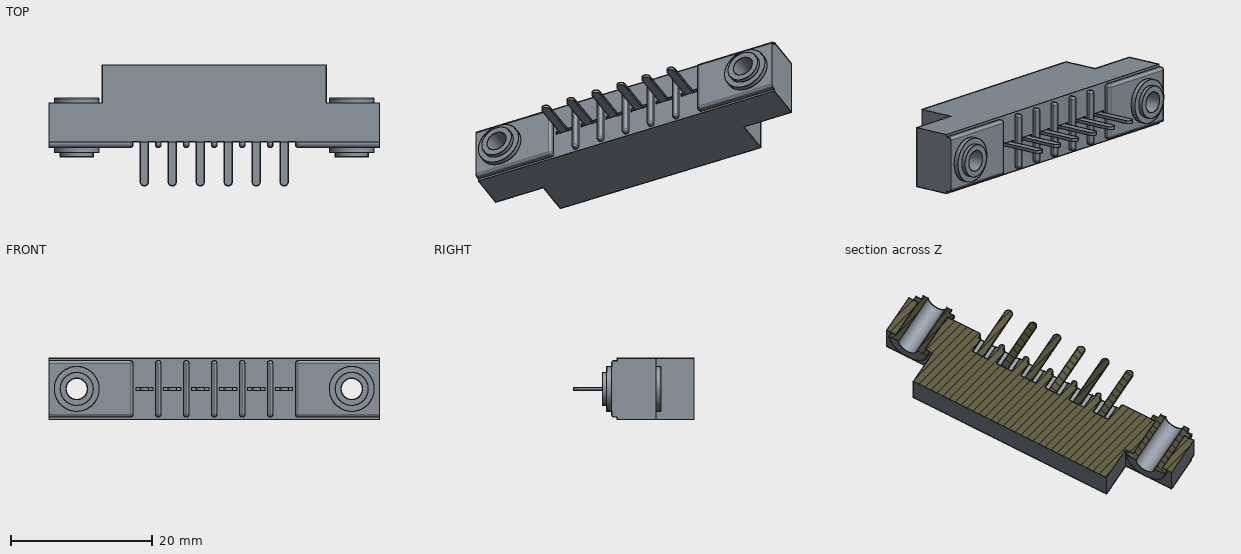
import cadquery as cq


LENGTH = 46.8
HEIGHT = 8.7
EAR_DEPTH = 5.5
BODY_DEPTH = 10.9
BODY_LENGTH = 31.72

PAD_HEIGHT = 0.8
RAISED_SPAN_Z = 8.0
PAD_LENGTH = 11.9
RIB_WIDTH = 0.8
EDGE_RADIUS = 0.37

PIN_COUNT = 6
PIN_ROW_SPAN = 19.8
PIN_PITCH = PIN_ROW_SPAN / (PIN_COUNT - 1)
PIN_WIDTH = 1.15
PIN_THICKNESS = 0.4
PIN_REACH = 6.2

SLOT_WIDTH = 2.45
SLOT_DEPTH = 2.35

BUSHING_X = 19.45
BORE_RADIUS = 1.5
BARREL_RADIUS = 2.35
FLANGE_RADIUS = 3.2
FLANGE_THICKNESS = 0.7
COLLAR_LENGTH = 0.6
BACK_FLANGE_ROUND = 0.2


def pin_positions():
    """X of each pin, spread evenly about the middle."""
    return [(i - (PIN_COUNT - 1) / 2) * PIN_PITCH for i in range(PIN_COUNT)]


def rib_positions():
    """X of each rib, midway between neighbouring pins."""
    return [x + PIN_PITCH / 2 for x in pin_positions()[:-1]]


def box_between(x_range, y_range, height):
    """Box spanning the given X and Y ranges, centred on Z = 0."""
    (x0, x1), (y0, y1) = x_range, y_range
    return cq.Workplane("XY").box(x1 - x0, y1 - y0, height).translate(((x0 + x1) / 2, (y0 + y1) / 2, 0))


def cylinder_y(x, radius, y_start, y_end):
    """Cylinder along Y centred at (x, Z = 0)."""
    axis = cq.Vector(0, 1, 0)
    return cq.Workplane(cq.Solid.makeCylinder(radius, y_end - y_start, cq.Vector(x, y_start, 0), axis))


def make_pad(side):
    """Raised pad running from the ear's end inward, with rounded edges except at the ear's end."""
    pad = box_between((-LENGTH / 2, -LENGTH / 2 + PAD_LENGTH), (-PAD_HEIGHT, 0), RAISED_SPAN_Z)
    pad = pad.edges("|Y and >X").fillet(EDGE_RADIUS)
    pad = pad.faces("<Y").edges("not <X").fillet(EDGE_RADIUS)
    return pad if side < 0 else pad.mirror("YZ")


def make_rib(x):
    """Upright rib with round ends and a rounded crest."""
    rib = cq.Workplane("XZ").slot2D(RAISED_SPAN_Z, RIB_WIDTH, 90).extrude(PAD_HEIGHT)
    return rib.faces("<Y").edges().fillet(EDGE_RADIUS).translate((x, 0, 0))


def make_pin(x):
    """Flat pin with a semicircular tip, seated to the bottom of its slot."""
    radius = PIN_WIDTH / 2
    pin = (
        cq.Workplane("XY")
        .workplane(offset=-PIN_THICKNESS / 2)
        .moveTo(radius, SLOT_DEPTH)
        .lineTo(-radius, SLOT_DEPTH)
        .lineTo(-radius, radius - PIN_REACH)
        .threePointArc((0, -PIN_REACH), (radius, radius - PIN_REACH))
        .close()
        .extrude(PIN_THICKNESS)
    )
    return pin.translate((x, 0, 0))


def make_bushing(x):
    """Bored barrel with a flange behind the ear, a flange on the pad and a collar beyond it."""
    back = EAR_DEPTH + FLANGE_THICKNESS
    front = -PAD_HEIGHT - FLANGE_THICKNESS
    back_flange = cylinder_y(x, FLANGE_RADIUS, EAR_DEPTH, back).edges(">Y").fillet(BACK_FLANGE_ROUND)
    front_flange = cylinder_y(x, FLANGE_RADIUS, front, -PAD_HEIGHT)
    barrel = cylinder_y(x, BARREL_RADIUS, front - COLLAR_LENGTH, back)
    bore = cylinder_y(x, BORE_RADIUS, front - COLLAR_LENGTH, back)
    return barrel.union(front_flange).union(back_flange).cut(bore)


def make_housing():
    """Housing with its pads and ribs, bushing holes and pin slots."""
    housing = box_between((-LENGTH / 2, LENGTH / 2), (0, EAR_DEPTH), HEIGHT)
    housing = housing.union(box_between((-BODY_LENGTH / 2, BODY_LENGTH / 2), (0, BODY_DEPTH), HEIGHT))
    for side in (-1, 1):
        housing = housing.union(make_pad(side))
        housing = housing.cut(cylinder_y(side * BUSHING_X, BARREL_RADIUS, -PAD_HEIGHT, EAR_DEPTH))
    for x in rib_positions():
        housing = housing.union(make_rib(x))
    for x in pin_positions():
        slot = (x - SLOT_WIDTH / 2, x + SLOT_WIDTH / 2)
        housing = housing.cut(box_between(slot, (0, SLOT_DEPTH), PIN_THICKNESS))
    return housing


housing = make_housing()
pins = [make_pin(x) for x in pin_positions()]
bushings = [make_bushing(side * BUSHING_X) for side in (-1, 1)]

result = cq.Compound.makeCompound(
    [housing.val(), *[pin.val() for pin in pins], *[bushing.val() for bushing in bushings]]
)